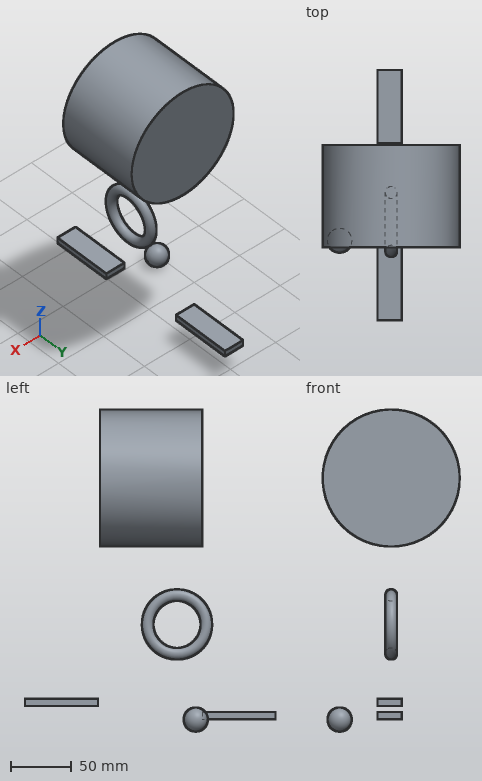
import cadquery as cq

drum_diameter = 113.0
drum_length = 84.3

ring_outer_diameter = 58.0
ring_section_diameter = 9.8
ring_y = -21.2
ring_z = -120.3

ball_diameter = 20.1
ball_x = -42.5
ball_y = -36.5
ball_z = -198.5

bar_width = 20.1
bar_length = 60.1
bar_thickness = 6.0
bar_x = -1.3
front_bar_y = -72.0
front_bar_z = -195.3
rear_bar_y = 73.7
rear_bar_z = -184.5


def make_drum():
    return cq.Workplane("XZ").circle(drum_diameter / 2).extrude(drum_length).translate((0, drum_length / 2, 0))


def make_ring():
    section_radius = ring_section_diameter / 2
    centreline_radius = ring_outer_diameter / 2 - section_radius
    centre = cq.Vector(0, ring_y, ring_z)
    return cq.Solid.makeTorus(centreline_radius, section_radius, centre, cq.Vector(1, 0, 0))


def make_ball():
    return cq.Workplane("XY").sphere(ball_diameter / 2).translate((ball_x, ball_y, ball_z))


def make_bar(y, z):
    return cq.Workplane("XY").box(bar_width, bar_length, bar_thickness).translate((bar_x, y, z))


drum = make_drum()
ring = make_ring()
ball = make_ball()
bars = []
for y, z in ((front_bar_y, front_bar_z), (rear_bar_y, rear_bar_z)):
    bars.append(make_bar(y, z).val())

result = cq.Compound.makeCompound([drum.val(), ring, ball.val(), *bars])